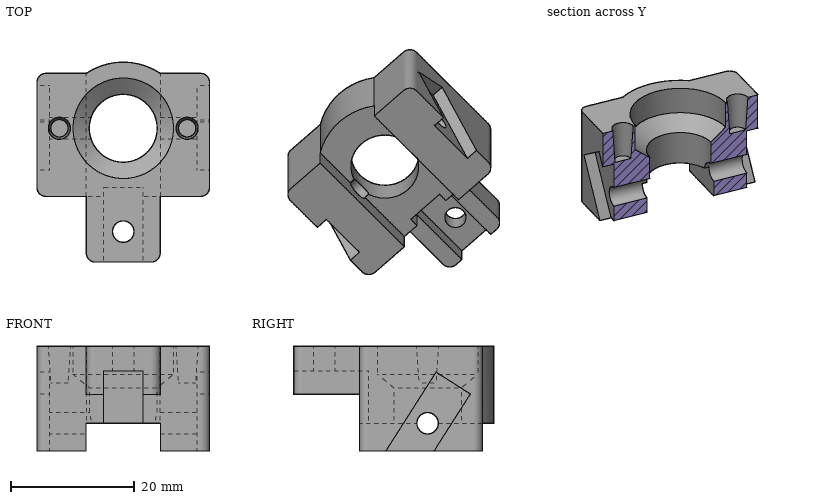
import cadquery as cq
import math

body_width = 28.0
body_depth = 20.0
height = 17.0
body_back = 8.93
body_front = body_back - body_depth
corner_radius = 1.5
total_depth = 32.45

bulge_radius = 10.75
channel_width = 12
channel_height = 4.5

tongue_thickness = 7.82
tongue_front = bulge_radius - total_depth
pin_hole_y = -16.75
pin_hole_diameter = 3.45
pocket_width = 6.4
pocket_roof = 4.0
pocket_depth_in_body = 1.5

bore_diameter = 16.3
throat_diameter = 10.97
seat_top_depth = 4.58
seat_bottom_depth = 6.75

blind_hole_x = 10.35
blind_top_diameter = 3.6
blind_floor_diameter = 2.8
blind_depth = 6.0

cross_hole_diameter = 3.45
recess_width = 6.6
recess_depth = 2.0
recess_tilt = 32.5
recess_end_distance = 7.73


def upright_box(width, front, back, bottom, top):
    """Box centred on X = 0 between the given Y and Z limits."""
    return (
        cq.Workplane("XY", origin=(0, (front + back) / 2, bottom))
        .rect(width, back - front)
        .extrude(top - bottom)
    )


def make_block():
    block = upright_box(body_width, body_front, body_back, 0, height).edges("|Z").fillet(corner_radius)
    bulge = (
        cq.Workplane("XY", origin=(0, 0, channel_height))
        .circle(bulge_radius)
        .extrude(height - channel_height)
        .intersect(upright_box(channel_width, 0, bulge_radius, channel_height, height))
    )
    tongue = (
        upright_box(channel_width, tongue_front, body_front, height - tongue_thickness, height)
        .edges("|Z and <Y")
        .fillet(corner_radius)
    )
    channel = upright_box(channel_width, body_front, body_back, 0, channel_height)
    return block.union(bulge).union(tongue).cut(channel)


def stepped_bore():
    """Wide counterbore, conical seat and through throat, revolved about Z."""
    seat_top = height - seat_top_depth
    seat_bottom = height - seat_bottom_depth
    profile = [
        (0, 0),
        (throat_diameter / 2, 0),
        (throat_diameter / 2, seat_bottom),
        (bore_diameter / 2, seat_top),
        (bore_diameter / 2, height),
        (0, height),
    ]
    return cq.Workplane("XZ").polyline(profile).close().revolve(360, (0, 0), (0, 1))


def pin_hole():
    return cq.Workplane("XY").center(0, pin_hole_y).circle(pin_hole_diameter / 2).extrude(height)


def tongue_pocket():
    pocket_back = body_front + pocket_depth_in_body
    return upright_box(pocket_width, tongue_front, pocket_back, channel_height, height - pocket_roof)


def blind_hole(side):
    return (
        cq.Workplane("XY", origin=(side * blind_hole_x, 0, height - blind_depth))
        .circle(blind_floor_diameter / 2)
        .workplane(offset=blind_depth)
        .circle(blind_top_diameter / 2)
        .loft()
    )


def cross_hole():
    return (
        cq.Workplane("YZ")
        .center(0, channel_height)
        .circle(cross_hole_diameter / 2)
        .extrude(body_width / 2, both=True)
    )


def slanted_recess(side):
    """Tilted slot centred on the cross hole and open through the underside."""
    tilt = math.radians(recess_tilt)
    lower_length = (channel_height + recess_width / 2 * math.sin(tilt)) / math.cos(tilt)
    slot_length = recess_end_distance + lower_length
    return (
        cq.Workplane("XY")
        .box(2 * recess_depth, recess_width, slot_length)
        .translate((0, 0, (recess_end_distance - lower_length) / 2))
        .rotate((0, 0, 0), (1, 0, 0), -recess_tilt)
        .translate((side * body_width / 2, 0, channel_height))
    )


result = make_block().cut(stepped_bore()).cut(pin_hole()).cut(tongue_pocket()).cut(cross_hole())
for side in (-1, 1):
    result = result.cut(blind_hole(side)).cut(slanted_recess(side))